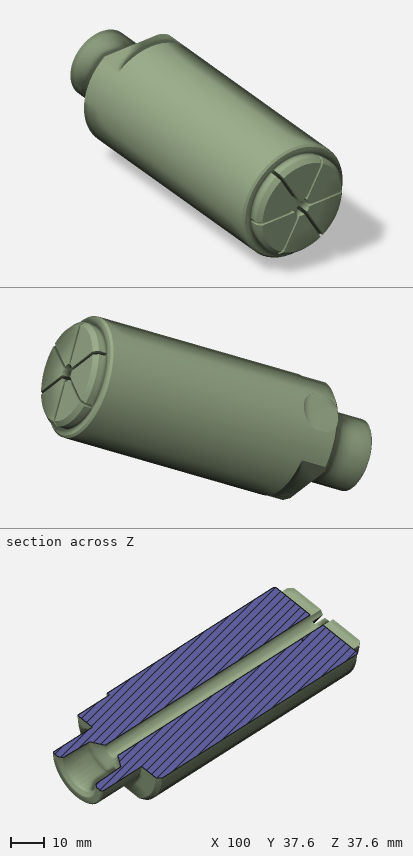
import cadquery as cq
import math

overall_length = 99.97
nose_length = 15.9
flat_length = 9.53
body_end = 95.8

nose_diameter = 22.23
nose_tip_diameter = 21.35
nose_chamfer_length = 0.36

body_diameter = 37.59
body_front_diameter = 34.92
body_front_chamfer_length = 1.27
body_rear_chamfer = 0.64
flat_spacing = 28.58

collar_diameter = 32.18
collar_chamfer_length = 1.4
collar_chamfer_depth = 1.27
slot_width = 1.1
slot_count = 6

bore_mouth_diameter = 17.2
bore_entry_diameter = 14.55
drill_diameter = 13.89
bore_mouth_depth = 0.95
bore_taper_end = 10.2
bore_depth = 11.2
through_diameter = 5.54
drill_point_angle = 118

spot_diameter = 12.7
spot_center_x = 22.35
spot_depth = 1.0


def revolve_about_x(points):
    """Revolve a profile of (x, radius) points, closed along the X axis."""
    return cq.Workplane("XY").polyline(points).close().revolve(360, (0, 0), (1, 0))


def make_blank():
    """Nose, body and collar as one turned solid."""
    nose_radius = nose_diameter / 2
    body_radius = body_diameter / 2
    collar_radius = collar_diameter / 2
    return revolve_about_x([
        (0, 0),
        (0, nose_tip_diameter / 2),
        (nose_chamfer_length, nose_radius),
        (nose_length, nose_radius),
        (nose_length, body_front_diameter / 2),
        (nose_length + body_front_chamfer_length, body_radius),
        (body_end - body_rear_chamfer, body_radius),
        (body_end, body_radius - body_rear_chamfer),
        (body_end, collar_radius),
        (overall_length - collar_chamfer_length, collar_radius),
        (overall_length, collar_radius - collar_chamfer_depth),
        (overall_length, 0),
    ])


def make_bore():
    """Countersunk, tapered bore with a drill point leading into the through hole."""
    through_radius = through_diameter / 2
    point_height = drill_diameter / 2 - through_radius
    point_end = bore_depth + point_height / math.tan(math.radians(drill_point_angle / 2))
    return revolve_about_x([
        (0, 0),
        (0, bore_mouth_diameter / 2),
        (bore_mouth_depth, bore_entry_diameter / 2),
        (bore_taper_end, drill_diameter / 2),
        (bore_depth, drill_diameter / 2),
        (point_end, through_radius),
        (overall_length, through_radius),
        (overall_length, 0),
    ])


def make_wrench_flat_cut():
    """Material removed above the upper wrench flat."""
    cut_height = (body_diameter - flat_spacing) / 2
    cut_offset = (flat_spacing + cut_height) / 2
    return (
        cq.Workplane("XY")
        .box(flat_length, body_diameter, cut_height)
        .translate((nose_length + flat_length / 2, 0, cut_offset))
    )


def make_collar_slots():
    """Radial slots across the whole length of the collar."""
    collar_length = overall_length - body_end
    slots = cq.Workplane("XY")
    for index in range(slot_count // 2):
        slot = (
            cq.Workplane("XY")
            .box(collar_length, collar_diameter, slot_width)
            .translate((body_end + collar_length / 2, 0, 0))
            .rotate((0, 0, 0), (1, 0, 0), index * 360 / slot_count)
        )
        slots = slots.add(slot)
    return slots.combine()


def make_spot_face():
    """Shallow round recess sunk into the body from +Y."""
    floor_y = body_diameter / 2 - spot_depth
    return (
        cq.Workplane("XZ", origin=(spot_center_x, floor_y, 0))
        .circle(spot_diameter / 2)
        .extrude(-2 * spot_depth)
    )


wrench_flat_cut = make_wrench_flat_cut()
result = (
    make_blank()
    .cut(make_bore())
    .cut(wrench_flat_cut)
    .cut(wrench_flat_cut.mirror("XY"))
    .cut(make_collar_slots())
    .cut(make_spot_face())
)